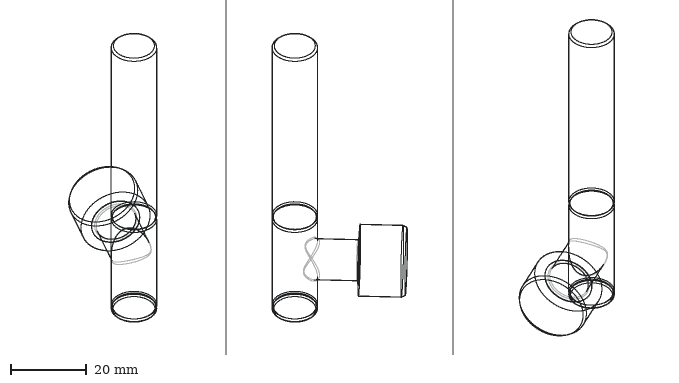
import cadquery as cq

post_diameter = 12.0
post_height = 87.1
post_radius = post_diameter / 2
end_chamfer = 0.6
foot_chamfer = 0.4

groove_depth = 0.35
joint_groove = (29.95, 30.6, 31.0)
foot_groove = (0.5, 1.1, 1.4)

branch_height = 16.7
neck_diameter = 10.9
neck_blend_radius = 0.5
overall_length = 35.35
knob_face_x = post_radius - overall_length

knob_diameter = 19.0
knob_length = 12.4
knob_bevel_length = 1.05
knob_bevel_depth = 0.5
collar_diameter = 13.2
collar_thickness = 0.2
collar_fillet = 0.35


def branch_cylinder(diameter, start_x, length):
    """Solid cylinder on the branch axis, running toward +X from start_x."""
    plane = cq.Workplane("YZ", origin=(start_x, 0, branch_height))
    return plane.circle(diameter / 2).extrude(length)


def v_groove(lower_z, root_z, upper_z):
    """Ring with a triangular section that cuts a V groove into the post."""
    section = [
        (post_radius, lower_z),
        (post_radius - groove_depth, root_z),
        (post_radius, upper_z),
    ]
    return cq.Workplane("XZ").polyline(section).close().revolve(360, (0, 0, 0), (0, 1, 0))


def make_knob():
    """Round knob with a long bevel at its face."""
    knob = branch_cylinder(knob_diameter, knob_face_x, knob_length)
    return knob.faces("<X").edges().chamfer(knob_bevel_length, knob_bevel_depth)


neck_start_x = knob_face_x + knob_length
post = cq.Workplane("XY").circle(post_radius).extrude(post_height)
neck = branch_cylinder(neck_diameter, neck_start_x, -neck_start_x)
body = post.union(neck)
junction_reach = post_diameter
junction_zone = cq.selectors.BoxSelector(
    (-junction_reach, -junction_reach, branch_height - neck_diameter),
    (0, junction_reach, branch_height + neck_diameter),
)
body = body.edges(junction_zone).fillet(neck_blend_radius)

body = body.faces(">Z").edges().chamfer(end_chamfer)
body = body.faces("<Z").edges().chamfer(foot_chamfer)
for groove in (joint_groove, foot_groove):
    body = body.cut(v_groove(*groove))

collar = branch_cylinder(collar_diameter, neck_start_x, collar_thickness)
body = body.union(collar)
neck_root_x = neck_start_x + collar_thickness
collar_face = cq.selectors.NearestToPointSelector((neck_root_x, 0, branch_height))
neck_root = cq.selectors.RadiusNthSelector(0)
body = body.faces(collar_face).edges(neck_root).fillet(collar_fillet)
result = body.union(make_knob())